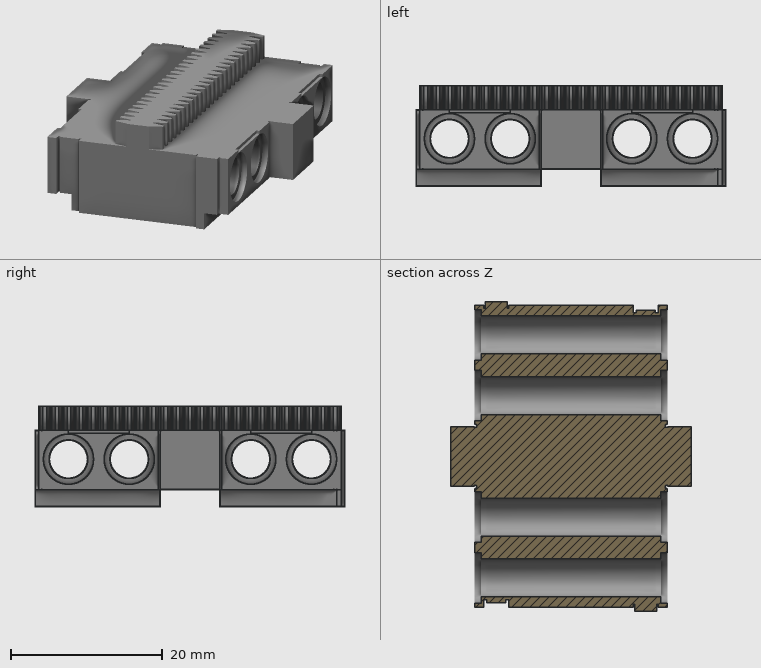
import cadquery as cq

body_width = 25.38
body_length = 39.82
overall_length = 40.8
body_height = 7.8

span = 31.8
wing_length = 7.87

foot_width = 19.0
foot_height = 2.25

tab_offset = 9.85
tab_width = 2.95
tab_reach = (overall_length - body_length) / 2
notch_width = 3.2
notch_depth = 0.6
kerf_width = 0.3
kerf_depth = 0.98
tab_relief_width = 0.15
tab_relief_depth = 0.4

corner_relief_diameter = 0.35
corner_relief_inset = 0.1
corner_relief_gap = 0.1

hole_pitch = 8.0
pair_offset = 1.5 * hole_pitch
hole_positions = [
    pair + step
    for pair in (-pair_offset, pair_offset)
    for step in (-hole_pitch / 2, hole_pitch / 2)
]
hole_diameter = 5.0
counterbore_diameter = 6.6
counterbore_depth = 0.8
hole_drop = 3.8
hole_height = body_height - hole_drop

ledge_depth = 0.45
ledge_drop = 0.4

rack_height = 3.2
tooth_count = 25
tooth_pitch = body_length / tooth_count
tip_half_width = 3.3
root_half_width = 1.55
tip_flat = 0.5
root_flat = 0.2


def block(width, length, height, x=0, y=0, z=0):
    """Box centred on (x, y) that stands on height z."""
    return cq.Workplane("XY").box(width, length, height, (True, True, False)).translate((x, y, z))


def both_ends(shape):
    """The shape together with its copy turned half a turn about Z."""
    return shape.union(shape.rotate((0, 0, 0), (0, 0, 1), 180))


def make_outline_block():
    """Body, wings, tabs and notches over the full height of body and foot."""
    height = body_height + foot_height
    end = body_length / 2

    def end_block(width, inner, outer, x):
        return block(width, outer - inner, height, x, (inner + outer) / 2, -foot_height)

    tab = end_block(tab_width, end - tab_relief_depth, end + tab_reach, -tab_offset)
    notch = end_block(notch_width, end - notch_depth, end, tab_offset)
    for side in (-1, 1):
        kerf_x = tab_offset + side * (notch_width - kerf_width) / 2
        notch = notch.union(end_block(kerf_width, end - kerf_depth, end, kerf_x))
        relief_x = -tab_offset + side * (tab_width + tab_relief_width) / 2
        notch = notch.union(end_block(tab_relief_width, end - tab_relief_depth, end, relief_x))

    relief_x = body_width / 2 - corner_relief_inset
    relief_y = wing_length / 2 + corner_relief_gap
    reliefs = (
        cq.Workplane("XY", origin=(0, 0, -foot_height))
        .rect(2 * relief_x, 2 * relief_y, forConstruction=True)
        .vertices()
        .circle(corner_relief_diameter / 2)
        .extrude(height)
    )
    plate = block(body_width, body_length, height, z=-foot_height)
    wings = block(span, wing_length, height, z=-foot_height)
    return plate.union(wings).union(both_ends(tab)).cut(both_ends(notch)).cut(reliefs)


def cut_foot(part):
    """Trim the lower layer to the foot width and open the channel between its halves."""
    lower_layer = block(span, overall_length, foot_height, z=-foot_height)
    foot = block(foot_width, overall_length, foot_height, z=-foot_height)
    channel = block(foot_width, wing_length, foot_height, z=-foot_height)
    return part.cut(lower_layer.cut(foot).union(channel))


def cut_holes(part):
    """Bore the cross holes, their counterbores on both sides and the ledges above them."""
    side = body_width / 2
    centres = [(y, hole_height) for y in hole_positions]
    bores = (
        cq.Workplane("YZ", origin=(-side, 0, 0))
        .pushPoints(centres)
        .circle(hole_diameter / 2)
        .extrude(body_width)
    )
    counterbores = (
        cq.Workplane("YZ", origin=(side - counterbore_depth, 0, 0))
        .pushPoints(centres)
        .circle(counterbore_diameter / 2)
        .extrude(counterbore_depth)
    )
    part = part.cut(bores).cut(both_ends(counterbores))
    for y in (-pair_offset, pair_offset):
        ledge = block(ledge_depth, hole_pitch, ledge_drop, side - ledge_depth / 2, y, body_height - ledge_drop)
        part = part.cut(both_ends(ledge))
    return part


def make_rack():
    """Straight-flanked teeth on both long sides; each end falls in the middle of a root."""
    right_edge = []
    for tooth in range(tooth_count):
        start = -body_length / 2 + tooth * tooth_pitch
        middle = start + tooth_pitch / 2
        right_edge += [
            (root_half_width, start + root_flat / 2),
            (tip_half_width, middle - tip_flat / 2),
            (tip_half_width, middle + tip_flat / 2),
            (root_half_width, start + tooth_pitch - root_flat / 2),
        ]
    right_edge = [(root_half_width, -body_length / 2)] + right_edge + [(root_half_width, body_length / 2)]
    left_edge = [(-x, y) for x, y in reversed(right_edge)]
    return (
        cq.Workplane("XY", origin=(0, 0, body_height))
        .polyline(right_edge + left_edge)
        .close()
        .extrude(rack_height)
    )


result = cut_holes(cut_foot(make_outline_block())).union(make_rack())